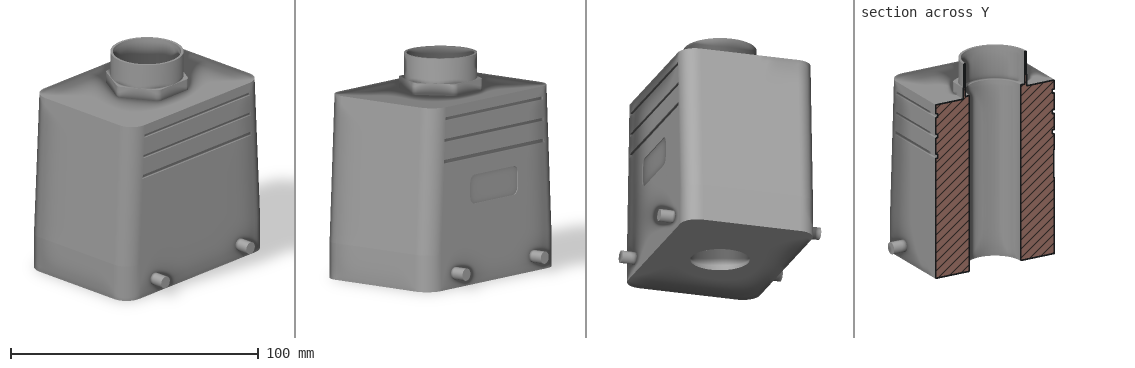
import cadquery as cq
import math

body_width = 56.0
body_length = 82.0
body_height = 75.0
base_height = 15.0
end_draft_angle = 3.0
corner_radius = 7.2

pin_span = 68.0
pin_diameter = 5.0
pin_offset = 24.8
pin_height = 6.2

groove_bands = [(4.1, 1.35), (13.0, 1.35), (21.5, 1.6)]
groove_depth = 1.0

panel_length = 30.2
panel_height = 11.9
panel_radius = 3.0
panel_center_height = 38.9
panel_depth = 0.4

total_height = 90.0
hex_across_flats = 30.0
hex_height = 4.8
hex_edge_radius = 2.4
collar_diameter = 29.6
collar_bore_diameter = 27.5
through_bore_diameter = 24.0
counterbore_depth = 14.0

hex_top = body_height + hex_height


def make_body():
    """Straight base below two end faces that lean inward, with rounded upright edges."""
    base = (
        cq.Workplane("XY")
        .rect(body_width, body_length)
        .extrude(base_height)
        .edges("|Z")
        .fillet(corner_radius)
    )
    inset = (body_height - base_height) * math.tan(math.radians(end_draft_angle))
    half_base = body_length / 2
    half_top = half_base - inset
    upper = (
        cq.Workplane("YZ")
        .polyline([
            (-half_base, base_height),
            (half_base, base_height),
            (half_top, body_height),
            (-half_top, body_height),
        ])
        .close()
        .extrude(body_width / 2, both=True)
        .edges("not(#Z or |X or |Y)")
        .fillet(corner_radius)
    )
    return base.union(upper)


def make_groove(side, top_gap, width):
    """Cutter for one groove, ending where the flat side meets the rounded corners."""
    upper_z = body_height - top_gap
    slope = math.tan(math.radians(end_draft_angle))
    upper_half = body_length / 2 - (upper_z - base_height) * slope - corner_radius
    lower_half = upper_half + width * slope
    return (
        cq.Workplane("YZ", origin=(side * (body_width / 2 - groove_depth), 0, 0))
        .polyline([
            (-lower_half, upper_z - width),
            (lower_half, upper_z - width),
            (upper_half, upper_z),
            (-upper_half, upper_z),
        ])
        .close()
        .extrude(side * groove_depth)
    )


def make_panel():
    """Cutter for the shallow rounded panel on the -X side."""
    return (
        cq.Workplane("YZ", origin=(-body_width / 2, 0, panel_center_height))
        .rect(panel_length, panel_height)
        .extrude(panel_depth)
        .edges("|X")
        .fillet(panel_radius)
    )


def make_pins():
    """Two pins running along X through the hood and projecting from both sides."""
    return (
        cq.Workplane("YZ")
        .pushPoints([(-pin_offset, pin_height), (pin_offset, pin_height)])
        .circle(pin_diameter / 2)
        .extrude(pin_span / 2, both=True)
    )


def make_cable_entry():
    """Hexagon with flats facing +X and -X, carrying a round collar."""
    hexagon = (
        cq.Workplane("XY", origin=(0, 0, body_height))
        .polygon(6, hex_across_flats, circumscribed=True)
        .extrude(hex_height)
        .edges("|Z")
        .fillet(hex_edge_radius)
    )
    collar = (
        cq.Workplane("XY", origin=(0, 0, hex_top))
        .circle(collar_diameter / 2)
        .extrude(total_height - hex_top)
    )
    return hexagon.union(collar)


def make_bore():
    """Through bore with a wider counterbore sunk from the collar rim."""
    bore = cq.Workplane("XY").circle(through_bore_diameter / 2).extrude(total_height)
    counterbore = (
        cq.Workplane("XY", origin=(0, 0, total_height))
        .circle(collar_bore_diameter / 2)
        .extrude(-counterbore_depth)
    )
    return bore.union(counterbore)


result = make_body().cut(make_panel())
for side in (-1, 1):
    for top_gap, width in groove_bands:
        result = result.cut(make_groove(side, top_gap, width))
result = result.union(make_pins()).union(make_cable_entry()).cut(make_bore())